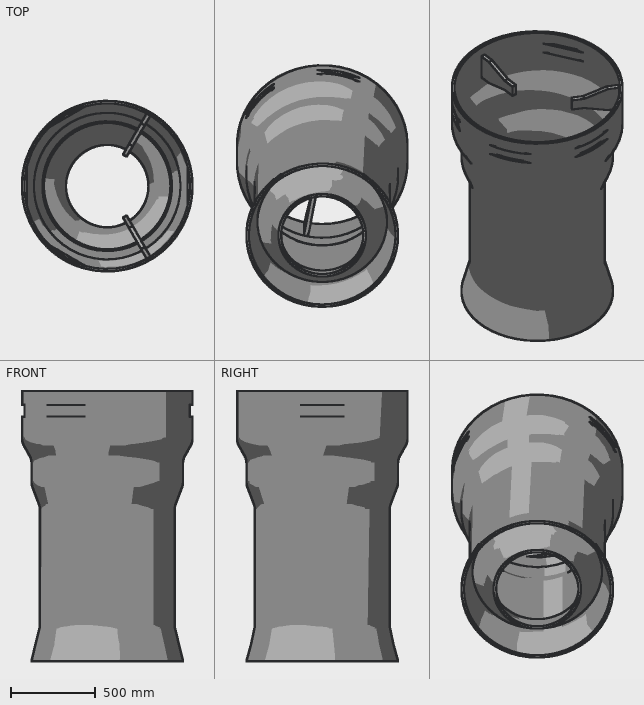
import cadquery as cq
import math

height = 1600.0
wall = 16.0

socket_radius = 505.0
neck_radius = 450.0
pipe_radius = 400.0
foot_radius = 450.0
foot_inner_radius = foot_radius - wall

socket_bottom_z = 1296.0
neck_top_z = 1197.0
neck_bottom_z = 1046.0
pipe_top_z = 915.0
pipe_bottom_z = 203.0
bend_inside = 80.0
bend_outside = bend_inside + wall

pad_angles = [0, 120, 180, 240]
pad_bottom_z = 1448.0
pad_height = 69.0
pad_face = socket_radius - wall

rib_angles = [60, -60]
rib_thickness = 25.0
rib_tip_radius = 208.0
rib_tip_knee_radius = 280.0
rib_root_knee_radius = 422.0
rib_root_top_z = 1528.0
rib_root_bottom_z = 1363.0
rib_tip_top_z = 1475.0
rib_tip_bottom_z = 1403.0

funnel_mouth_slope = 40.0
funnel_throat_slope = 75.0
funnel_spout_slope = 90.0
funnel_spout_radius = 243.0
funnel_spout_corner_z = 32.0
funnel_mouth_corner_radius = 288.0
mouth_bend_outside = 104.0
mouth_bend_inside = mouth_bend_outside - wall
spout_bend_outside = 176.0
spout_bend_inside = spout_bend_outside - wall


def offset_corner(corner, angle_before, angle_after, distance):
    """Move a corner of a path sideways, to the right of its two directions, keeping a mitre."""
    bisector = math.radians((angle_before + angle_after) / 2 - 90)
    mitre = distance / math.cos(math.radians((angle_after - angle_before) / 2))
    return (corner[0] + mitre * math.cos(bisector), corner[1] + mitre * math.sin(bisector))


def direction(start, end):
    """Direction in degrees from one point to another."""
    return math.degrees(math.atan2(end[1] - start[1], end[0] - start[0]))


def revolve_rounded(corners):
    """Revolve a closed (radius, z) outline about Z; each corner is (point, rounding radius)."""
    outline = cq.Workplane("XZ").moveTo(*corners[0][0])
    for index in range(1, len(corners)):
        point, rounding = corners[index]
        if rounding == 0:
            outline = outline.lineTo(*point)
            continue
        corner = cq.Vector(*point)
        to_previous = (cq.Vector(*corners[index - 1][0]) - corner).normalized()
        to_next = (cq.Vector(*corners[index + 1][0]) - corner).normalized()
        half_angle = to_previous.getAngle(to_next) / 2
        tangent = rounding / math.tan(half_angle)
        to_arc = rounding / math.sin(half_angle) - rounding
        arc_start = corner + to_previous * tangent
        arc_middle = corner + (to_previous + to_next).normalized() * to_arc
        arc_end = corner + to_next * tangent
        outline = outline.lineTo(arc_start.x, arc_start.y)
        outline = outline.threePointArc((arc_middle.x, arc_middle.y), (arc_end.x, arc_end.y))
    return outline.close().revolve(360, (0, 0, 0), (0, 1, 0))


def make_shell():
    """Stepped sheet-metal tube, with constant wall thickness through every bend."""
    outer = [
        (socket_radius, height),
        (socket_radius, socket_bottom_z),
        (neck_radius, neck_top_z),
        (neck_radius, neck_bottom_z),
        (pipe_radius, pipe_top_z),
        (pipe_radius, pipe_bottom_z),
        (foot_radius, 0),
    ]
    outer_bends = [bend_outside, bend_inside, bend_outside, bend_inside, bend_inside]
    inner_bends = [bend_inside, bend_outside, bend_inside, bend_outside, bend_outside]
    outer_corners = list(zip(outer[1:-1], outer_bends))
    inner_corners = []
    for index, rounding in enumerate(inner_bends, start=1):
        before = direction(outer[index - 1], outer[index])
        after = direction(outer[index], outer[index + 1])
        inner_corners.append((offset_corner(outer[index], before, after, wall), rounding))
    return revolve_rounded(
        [(outer[0], 0)]
        + outer_corners
        + [(outer[-1], 0), ((foot_inner_radius, 0), 0)]
        + inner_corners[::-1]
        + [((socket_radius - wall, height), 0)]
    )


def press_pads(shell):
    """Push flat pads inward: a recess outside and an equal bulge inside."""
    pad_width = 2 * math.sqrt(socket_radius**2 - pad_face**2)
    block = cq.Workplane("XY").box(wall, pad_width, pad_height, centered=(False, True, False))
    recess = block.translate((pad_face, 0, pad_bottom_z))
    bulge = block.translate((pad_face - wall, 0, pad_bottom_z))
    for angle in pad_angles:
        shell = shell.union(bulge.rotate((0, 0, 0), (0, 0, 1), angle))
        shell = shell.cut(recess.rotate((0, 0, 0), (0, 0, 1), angle))
    return cq.Workplane(shell.val().Solids()[0])


def make_rib(angle):
    """Tapered radial plate whose root fits the round socket wall."""
    plate = (
        cq.Workplane("XZ")
        .polyline([
            (rib_tip_radius, rib_tip_bottom_z),
            (rib_tip_knee_radius, rib_tip_bottom_z),
            (rib_root_knee_radius, rib_root_bottom_z),
            (socket_radius, rib_root_bottom_z),
            (socket_radius, rib_root_top_z),
            (rib_root_knee_radius, rib_root_top_z),
            (rib_tip_knee_radius, rib_tip_top_z),
            (rib_tip_radius, rib_tip_top_z),
        ])
        .close()
        .extrude(rib_thickness / 2, both=True)
    )
    socket_bore = cq.Workplane("XY").circle(socket_radius - wall).extrude(height)
    return plate.intersect(socket_bore).rotate((0, 0, 0), (0, 0, 1), angle)


def make_funnel():
    """Thin funnel with a straight spout, standing in the foot; its rim touches the pipe bore."""
    mouth = math.radians(funnel_mouth_slope)
    throat = math.radians(funnel_throat_slope)
    mouth_corner_rise = (funnel_mouth_corner_radius - funnel_spout_radius) * math.tan(throat)
    inner_spout = (funnel_spout_radius, funnel_spout_corner_z)
    inner_mouth = (funnel_mouth_corner_radius, funnel_spout_corner_z + mouth_corner_rise)
    outer_spout = offset_corner(inner_spout, funnel_spout_slope, funnel_throat_slope, wall)
    outer_mouth = offset_corner(inner_mouth, funnel_throat_slope, funnel_mouth_slope, wall)
    rim_outer_radius = pipe_radius - wall
    rim_outer_z = outer_mouth[1] + (rim_outer_radius - outer_mouth[0]) * math.tan(mouth)
    rim_inner = (rim_outer_radius - wall * math.sin(mouth), rim_outer_z + wall * math.cos(mouth))
    return revolve_rounded([
        ((funnel_spout_radius + wall, 0), 0),
        (outer_spout, spout_bend_inside),
        (outer_mouth, mouth_bend_inside),
        ((rim_outer_radius, rim_outer_z), 0),
        (rim_inner, 0),
        (inner_mouth, mouth_bend_outside),
        (inner_spout, spout_bend_outside),
        ((funnel_spout_radius, 0), 0),
    ])


housing = press_pads(make_shell())
funnel = make_funnel()
ribs = [make_rib(angle) for angle in rib_angles]

result = cq.Compound.makeCompound([housing.val(), funnel.val(), *[rib.val() for rib in ribs]])